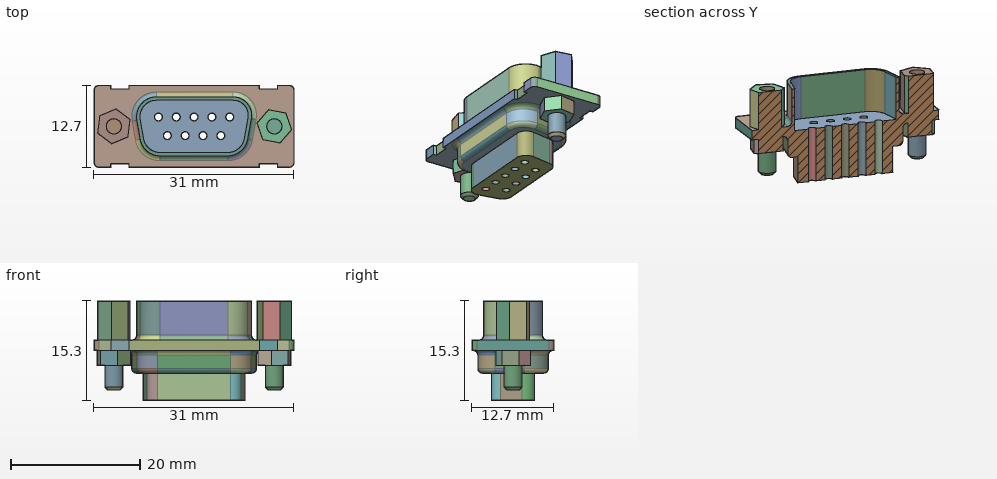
import cadquery as cq
import math

plate_length = 31
plate_width = 12.7
plate_thickness = 1.6
plate_corner_radius = 0.77
notch_length = 2.8
notch_depth = 0.55
notch_spacing = 23.0

side_angle = math.radians(10)
body_fillet = 0.75

shell_height = 6.0
top_z = plate_thickness + shell_height
shell_width = 17.82
shell_depth = 9.15
shell_bottom_radius = 3.1
shell_left_radius = 3.1
shell_right_radius = 2.85
shell_wall = 0.53
cavity_floor_z = 0.85

collar_height = 3.53
collar_width = 19.35
collar_depth = 10.95
collar_radius = 3.2

insert_bottom_z = -7.75
insert_width = 15.8
insert_depth = 6.7
insert_radius = 1.67

contact_diameter = 1.18
contact_pitch = 2.75
contact_row_spacing = 2.88
upper_row_count = 5
lower_row_count = 4

screw_spacing = 24.85
hex_across_flats = 4.7
screw_hole_diameter = 2.35
nut_height = 2.32
stud_diameter = 2.8
stud_tip_z = -6.15
stud_chamfer_height = 0.45
stud_chamfer_inset = 0.43
left_standoff_angle = 23
right_standoff_angle = 49
left_nut_angle = 41.6
right_nut_angle = 20.5


def d_prism(width, depth, bottom_radius, left_radius, right_radius, z_start, z_end):
    """Prism with a rounded trapezoid section; width is the largest width across the upper corners."""
    lean = math.tan(side_angle)
    half_depth = depth / 2

    def side_x(y, top_radius):
        """Half width of the unrounded side wall at distance y from the X axis."""
        centre_x = width / 2 - top_radius
        centre_y = half_depth - top_radius
        return centre_x + top_radius / math.cos(side_angle) + (y - centre_y) * lean

    corners = [
        (-side_x(half_depth, left_radius), half_depth),
        (side_x(half_depth, right_radius), half_depth),
        (side_x(-half_depth, right_radius), -half_depth),
        (-side_x(-half_depth, left_radius), -half_depth),
    ]
    prism = cq.Workplane("XY").workplane(offset=z_start).polyline(corners).close().extrude(z_end - z_start)
    prism = prism.edges("|Z and <Y").fillet(bottom_radius)
    prism = prism.edges("|Z and >Y and <X").fillet(left_radius)
    return prism.edges("|Z and >Y and >X").fillet(right_radius)


def even_d_prism(width, depth, radius, z_start, z_end):
    return d_prism(width, depth, radius, radius, radius, z_start, z_end)


def make_plate():
    plate = cq.Workplane("XY").box(plate_length, plate_width, plate_thickness, centered=(True, True, False))
    plate = plate.edges("|Z").fillet(plate_corner_radius)
    notches = (
        cq.Workplane("XY")
        .rarray(notch_spacing, plate_width, 2, 2)
        .rect(notch_length, 2 * notch_depth)
        .extrude(plate_thickness)
    )
    return plate.cut(notches)


def make_housing():
    """Plate with the shell above it, the collar below it and a fillet around each joint."""
    shell = d_prism(
        shell_width,
        shell_depth,
        shell_bottom_radius,
        shell_left_radius,
        shell_right_radius,
        plate_thickness,
        top_z,
    )
    collar = even_d_prism(collar_width, collar_depth, collar_radius, -collar_height, 0)
    collar = collar.faces("<Z").edges().fillet(body_fillet)

    housing = make_plate().union(shell).union(collar)
    margin = 0.05
    for joint_z, joint_width, joint_depth in (
        (plate_thickness, shell_width, shell_depth),
        (0, collar_width, collar_depth),
    ):
        joint_box = cq.selectors.BoxSelector(
            (-joint_width / 2 - margin, -joint_depth / 2 - margin, joint_z - margin),
            (joint_width / 2 + margin, joint_depth / 2 + margin, joint_z + margin),
        )
        housing = housing.edges(joint_box).fillet(body_fillet)
    return housing


def make_cavity():
    return d_prism(
        shell_width - 2 * shell_wall,
        shell_depth - 2 * shell_wall,
        shell_bottom_radius - shell_wall,
        shell_left_radius - shell_wall,
        shell_right_radius - shell_wall,
        cavity_floor_z,
        top_z,
    )


def make_contact_holes():
    rows = [(upper_row_count, contact_row_spacing / 2), (lower_row_count, -contact_row_spacing / 2)]
    points = []
    for count, y in rows:
        first_x = -contact_pitch * (count - 1) / 2
        points += [(first_x + contact_pitch * i, y) for i in range(count)]
    return (
        cq.Workplane("XY")
        .workplane(offset=insert_bottom_z)
        .pushPoints(points)
        .circle(contact_diameter / 2)
        .extrude(top_z - insert_bottom_z)
    )


def hex_prism(angle, z_start, z_end):
    corner_diameter = hex_across_flats / math.cos(math.pi / 6)
    prism = cq.Workplane("XY").polygon(6, corner_diameter).extrude(z_end - z_start)
    return prism.rotate((0, 0, 0), (0, 0, 1), angle).translate((0, 0, z_start))


def make_jackscrew(x, standoff_angle, nut_angle):
    standoff = hex_prism(standoff_angle, plate_thickness, top_z)
    screw_hole = (
        cq.Workplane("XY").workplane(offset=plate_thickness).circle(screw_hole_diameter / 2).extrude(shell_height)
    )
    nut = hex_prism(nut_angle, -nut_height, 0)
    stud = cq.Workplane("XY").workplane(offset=stud_tip_z).circle(stud_diameter / 2).extrude(-stud_tip_z)
    stud = stud.faces("<Z").chamfer(stud_chamfer_height, stud_chamfer_inset)
    return standoff.cut(screw_hole).union(nut).union(stud).translate((x, 0, 0))


insert = even_d_prism(insert_width, insert_depth, insert_radius, insert_bottom_z, -collar_height)

result = (
    make_housing()
    .union(insert)
    .cut(make_cavity())
    .cut(make_contact_holes())
    .union(make_jackscrew(-screw_spacing / 2, left_standoff_angle, left_nut_angle))
    .union(make_jackscrew(screw_spacing / 2, right_standoff_angle, right_nut_angle))
)